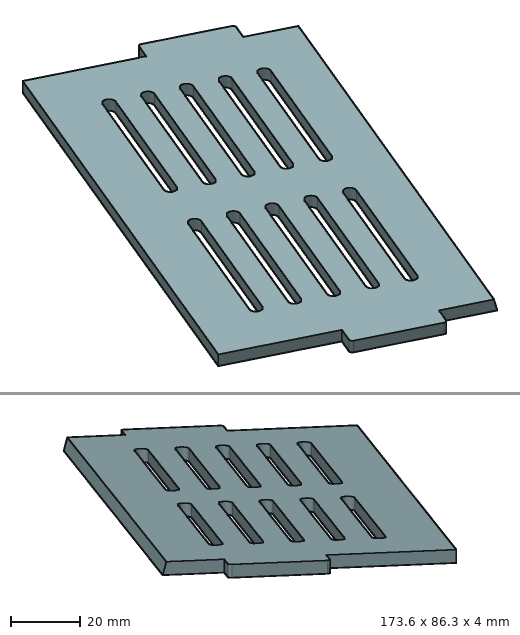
import cadquery as cq

overall_length = 173.6
plate_length = 160.0
plate_width = 86.3
thickness = 4.0
bevel_setback = 1.0

tab_width = 30.0
tab_front = 38.2
tab_corner_radius = 1.0

slot_length = 54.0
slot_width = 4.0
slot_columns = 2
slot_rows = 5
column_pitch = 70.0
row_pitch = 12.0


def make_plate():
    """Plate with a sloping rear face, extruded along X from its side profile."""
    front = -plate_width / 2
    rear = plate_width / 2
    profile = [
        (front, 0),
        (rear, 0),
        (rear - bevel_setback, thickness),
        (front, thickness),
    ]
    return cq.Workplane("YZ").polyline(profile).close().extrude(plate_length / 2, both=True)


def make_tabs():
    """One bar across the plate whose rounded ends form both tabs."""
    tab_centre = -plate_width / 2 + tab_front + tab_width / 2
    return (
        cq.Workplane("XY")
        .center(0, tab_centre)
        .rect(overall_length, tab_width)
        .extrude(thickness)
        .edges("|Z")
        .fillet(tab_corner_radius)
    )


def make_slots():
    """Round-ended cutters for the grid of through slots."""
    return (
        cq.Workplane("XY")
        .rarray(column_pitch, row_pitch, slot_columns, slot_rows)
        .slot2D(slot_length, slot_width)
        .extrude(thickness)
    )


result = make_plate().union(make_tabs()).cut(make_slots())